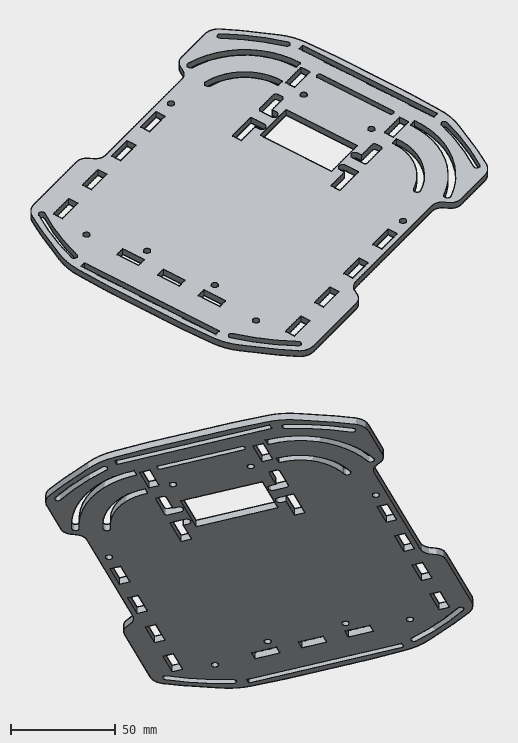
import cadquery as cq
import math

length = 190.0
width = 165.0
thickness = 4.0
half_length = length / 2
half_width = width / 2

end_flat_half = 21.7
bend_x = 46.7
bend_y = 94.0
shoulder_x = 69.7
shoulder_y = 82.6
corner_y = 75.5
bend_radius = 34.2
corner_radius = 8.4

notch_x = 73.7
notch_front_y = 42.8
notch_rear_y = -27.0
notch_slope = 30.0
notch_radius = 6.0
notch_run = (half_width - notch_x) * math.tan(math.radians(notch_slope))

hole_diameter = 3.5
center_hole_x = 20.0
center_hole_y = 64.8
side_hole_x = 68.4
side_hole_y = 23.0
rear_hole_x = 50.0
rear_hole_y = 72.8

end_slot_length = 79.5
end_slot_width = 2.8
end_slot_y = 90.2
inner_slot_length = 44.6
inner_slot_width = 2.7
inner_slot_y = 79.5
inner_slot_radius = 1.0

edge_slot_center_x = 7.5
edge_slot_center_y = -29.8
edge_slot_radius = 124.0
edge_slot_width = 3.0
edge_slot_start = 56.7
edge_slot_end = 71.7

arc_center_x = 35.0
arc_center_y = 37.0
arc_inner_x = 33.6
arc_slot_width = 3.6
outer_arc_radius = 42.5
outer_arc_start = 17.0
inner_arc_radius = 27.5
inner_arc_start = 15.0

tab_length = 12.7
side_tab_width = 5.3
rear_tab_width = 4.8
rear_tab_pitch = 24.0
side_tab_x = 68.4
first_side_tab_y = 8.0
last_side_tab_y = -64.2
side_tab_count = 4
side_tab_pitch = (first_side_tab_y - last_side_tab_y) / (side_tab_count - 1)
rear_tab_y = -72.8
rear_tab_count = 3
front_tab_x = 29.0
front_tab_y = 72.8

window_length = 42.0
window_width = 21.3
window_y = 41.0
leg_width = 5.3
leg_outer_x = 31.7
arm_tip_x = 21.8
arm_width = 4.0
front_l_y = 43.7
front_l_length = 14.0
front_l_radius = 1.3
rear_l_y = 37.6
rear_l_length = 15.4

cut_depth = 3 * thickness


def both_sides(cutter):
    """Return the cutter together with its mirror image across the YZ plane."""
    return cutter.union(cutter.mirror("YZ"))


def box_cutter(x, y, size_x, size_y):
    return cq.Workplane("XY").center(x, y).rect(size_x, size_y).extrude(cut_depth, both=True)


def round_corners(body, points, radius):
    """Fillet the upright edges that pass through the given points and their mirrors in X."""
    for x, y in points:
        for side in (1, -1):
            edge = cq.selectors.NearestToPointSelector((side * x, y, thickness / 2))
            body = body.edges("|Z").edges(edge).fillet(radius)
    return body


def arc_slot(center_x, center_y, radius, slot_width, start, end, round_end=True):
    """Curved slot with a round start; angles in degrees from +X."""
    inner = radius - slot_width / 2
    outer = radius + slot_width / 2

    def at(r, angle):
        a = math.radians(angle)
        return (center_x + r * math.cos(a), center_y + r * math.sin(a))

    middle = (start + end) / 2
    sketch = cq.Workplane("XY").moveTo(*at(inner, start))
    sketch = sketch.threePointArc(at(inner, middle), at(inner, end)).lineTo(*at(outer, end))
    sketch = sketch.threePointArc(at(outer, middle), at(outer, start)).close()
    slot = sketch.extrude(cut_depth, both=True)
    rounded = [start, end] if round_end else [start]
    for angle in rounded:
        cap = cq.Workplane("XY").center(*at(radius, angle)).circle(slot_width / 2)
        slot = slot.union(cap.extrude(cut_depth, both=True))
    return slot


def plate():
    notch_points = [
        (half_width, notch_front_y + notch_run),
        (notch_x, notch_front_y),
        (notch_x, notch_rear_y),
        (half_width, notch_rear_y - notch_run),
    ]
    bends = [(bend_x, bend_y), (bend_x, -bend_y)]
    corners = [(half_width, corner_y), (half_width, -corner_y)]
    front = [(end_flat_half, half_length), bends[0], (shoulder_x, shoulder_y), corners[0]]
    rear = [(x, -y) for x, y in reversed(front)]
    right = front + notch_points + rear
    left = [(-x, y) for x, y in reversed(right)]
    body = cq.Workplane("XY").polyline(right + left).close().extrude(thickness)
    body = round_corners(body, bends, bend_radius)
    body = round_corners(body, corners, corner_radius)
    return round_corners(body, notch_points, notch_radius)


def holes():
    points = [
        (center_hole_x, center_hole_y),
        (center_hole_x, -center_hole_y),
        (side_hole_x, side_hole_y),
        (rear_hole_x, -rear_hole_y),
    ]
    drill = cq.Workplane("XY").pushPoints(points).circle(hole_diameter / 2)
    return both_sides(drill.extrude(cut_depth, both=True))


def straight_slots():
    inner = box_cutter(0, inner_slot_y, inner_slot_length, inner_slot_width)
    slots = inner.edges("|Z").fillet(inner_slot_radius)
    for y in (end_slot_y, -end_slot_y):
        slots = slots.union(box_cutter(0, y, end_slot_length, end_slot_width))
    return slots


def edge_slots():
    front = arc_slot(edge_slot_center_x, edge_slot_center_y, edge_slot_radius,
                     edge_slot_width, edge_slot_start, edge_slot_end)
    return both_sides(front.union(front.mirror("XZ")))


def front_arc_slots():
    """Concentric slots, round at the outer end and square at the inner end."""
    slots = cq.Workplane("XY")
    for radius, start in ((outer_arc_radius, outer_arc_start), (inner_arc_radius, inner_arc_start)):
        end = 90 + math.degrees(math.asin((arc_center_x - arc_inner_x) / radius))
        slots = slots.add(arc_slot(arc_center_x, arc_center_y, radius, arc_slot_width,
                                   start, end, round_end=False))
    return both_sides(slots.combine())


def tab_slots():
    slots = box_cutter(front_tab_x, front_tab_y, side_tab_width, tab_length)
    for i in range(side_tab_count):
        y = first_side_tab_y - i * side_tab_pitch
        slots = slots.union(box_cutter(side_tab_x, y, side_tab_width, tab_length))
    slots = both_sides(slots)
    for i in range(rear_tab_count):
        x = (i - (rear_tab_count - 1) / 2) * rear_tab_pitch
        slots = slots.union(box_cutter(x, rear_tab_y, tab_length, rear_tab_width))
    return slots


def l_slot(base_y, leg_length, direction):
    """Leg along Y from base_y, with a round-tipped arm at its base pointing to the window."""
    leg = box_cutter(leg_outer_x - leg_width / 2, base_y + direction * leg_length / 2,
                     leg_width, leg_length)
    tip_center_x = arm_tip_x + arm_width / 2
    arm_y = base_y + direction * arm_width / 2
    arm_length = leg_outer_x - leg_width / 2 - tip_center_x
    arm = box_cutter(tip_center_x + arm_length / 2, arm_y, arm_length, arm_width)
    tip = cq.Workplane("XY").center(tip_center_x, arm_y).circle(arm_width / 2)
    return leg, arm.union(tip.extrude(cut_depth, both=True))


def window_and_l_slots():
    front_leg, front_arm = l_slot(front_l_y, front_l_length, 1)
    rear_leg, rear_arm = l_slot(rear_l_y, rear_l_length, -1)
    front_leg = front_leg.edges("|Z and (>X or >Y)").fillet(front_l_radius)
    slots = both_sides(front_leg.union(front_arm).union(rear_leg).union(rear_arm))
    return slots.union(box_cutter(0, window_y, window_length, window_width))


result = plate()
for cutter in (holes(), straight_slots(), edge_slots(), front_arc_slots(),
               tab_slots(), window_and_l_slots()):
    result = result.cut(cutter)